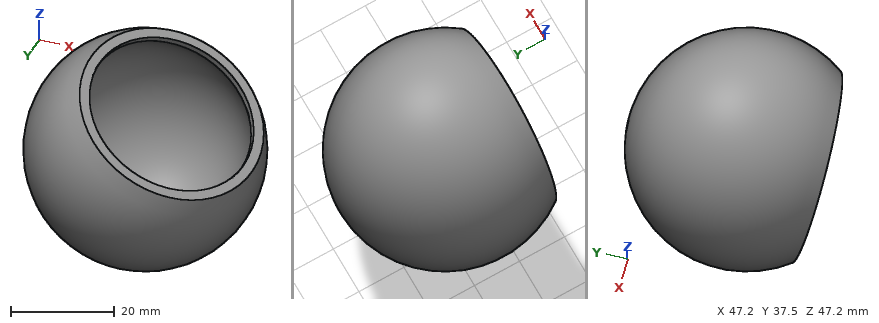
import cadquery as cq
import math

outer_radius = 23.6
rim_y = -13.9
opening_radius = 17.05
lip_depth = 1.4

lip_end_y = rim_y + lip_depth
cavity_radius = math.hypot(opening_radius, lip_end_y)
rim_radius = math.sqrt(outer_radius**2 - rim_y**2)

section = (
    cq.Workplane("XY")
    .moveTo(0, outer_radius)
    .threePointArc((outer_radius, 0), (rim_radius, rim_y))
    .lineTo(opening_radius, rim_y)
    .lineTo(opening_radius, lip_end_y)
    .threePointArc((cavity_radius, 0), (0, cavity_radius))
    .close()
)

result = section.revolve(360, (0, 0), (0, 1))